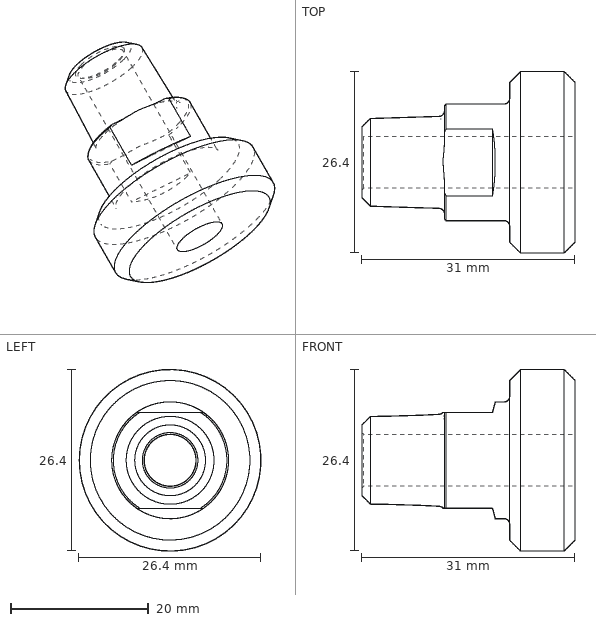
import cadquery as cq
import math

total_length = 31.0
spigot_length = 12.0
flange_start = 21.45
flat_end = 18.97

bore_radius = 7.5 / 2
spigot_tip_radius = 6.4
spigot_root_radius = 6.7
collar_radius = 17.0 / 2
flange_radius = 26.4 / 2

bore_chamfer = 0.28
tip_chamfer = 1.25
collar_chamfer = 0.25
flange_chamfer = 1.6
root_fillet = 0.8
flange_fillet = 0.78

flat_height = 6.98
flat_end_slope = 15.0


def concave_arc(sketch, start_x, start_radius, fillet):
    """Add a quarter fillet rising from a cylinder to the face of a shoulder."""
    diagonal = fillet * math.sqrt(0.5)
    middle = (start_x + diagonal, start_radius + fillet - diagonal)
    end = (start_x + fillet, start_radius + fillet)
    return sketch.threePointArc(middle, end)


def turned_body():
    """Revolve the half section of spigot, collar, flange and bore about X."""
    root_start = spigot_length - root_fillet
    shoulder_start = flange_start - flange_fillet

    profile = (
        cq.Workplane("XY")
        .moveTo(0, bore_radius + bore_chamfer)
        .lineTo(0, spigot_tip_radius - tip_chamfer)
        .lineTo(tip_chamfer, spigot_tip_radius)
        .lineTo(root_start, spigot_root_radius)
    )
    profile = (
        concave_arc(profile, root_start, spigot_root_radius, root_fillet)
        .lineTo(spigot_length, collar_radius - collar_chamfer)
        .lineTo(spigot_length + collar_chamfer, collar_radius)
        .lineTo(shoulder_start, collar_radius)
    )
    profile = (
        concave_arc(profile, shoulder_start, collar_radius, flange_fillet)
        .lineTo(flange_start, flange_radius - flange_chamfer)
        .lineTo(flange_start + flange_chamfer, flange_radius)
        .lineTo(total_length - flange_chamfer, flange_radius)
        .lineTo(total_length, flange_radius - flange_chamfer)
        .lineTo(total_length, bore_radius)
        .lineTo(bore_chamfer, bore_radius)
        .close()
    )
    return profile.revolve(360, (0, 0, 0), (1, 0, 0))


def flat_cutter(side):
    """Prism that mills one flat; side is 1 for +Z and -1 for -Z."""
    cutter_top = flange_radius
    slope_run = (cutter_top - flat_height) * math.tan(math.radians(flat_end_slope))
    return (
        cq.Workplane("XZ")
        .moveTo(0, side * flat_height)
        .lineTo(flat_end, side * flat_height)
        .lineTo(flat_end + slope_run, side * cutter_top)
        .lineTo(0, side * cutter_top)
        .close()
        .extrude(flange_radius, both=True)
    )


result = turned_body()
for side in (1, -1):
    result = result.cut(flat_cutter(side))